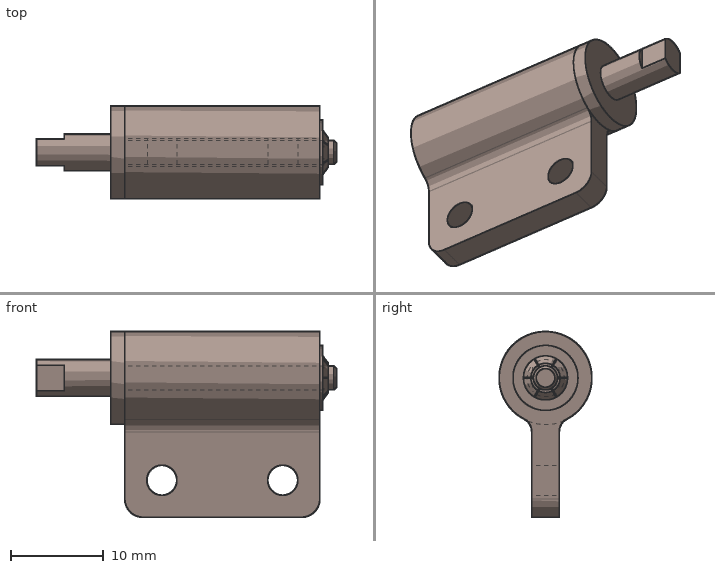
import cadquery as cq
import math


stub_diameter = 4.0
stub_length = 8.0
flat_length = 3.0
across_flats = 2.9
head_diameter = 10.0
head_thickness = 1.5
shank_diameter = 2.6
tip_chamfer = 0.3
tip_projection = 1.8

barrel_diameter = head_diameter
barrel_length = 21.0
plate_thickness = 3.0
plate_bottom_z = -15.0
plate_corner_radius = 2.0
plate_fillet_radius = 1.5
hole_diameter = 3.2
hole_z = -11.0
hole_offsets = (4.0, 17.0)

washer_diameter = 7.0
washer_thickness = 0.3
tongue_count = 6
tongue_root_diameter = 4.75
tongue_tip_diameter = 3.15
tongue_rise = 0.6
slit_width = 0.1

head_start_x = stub_length
barrel_start_x = head_start_x + head_thickness
barrel_end_x = barrel_start_x + barrel_length
tongue_start_x = barrel_end_x + washer_thickness
tongue_end_x = tongue_start_x + tongue_rise
tip_x = barrel_end_x + tip_projection


def cylinder_x(diameter, start_x, end_x):
    """Solid cylinder on the X axis between two stations."""
    return cq.Workplane("YZ", origin=(start_x, 0, 0)).circle(diameter / 2).extrude(end_x - start_x)


def make_pin():
    """Stub with two flats, disc head and a shank that runs through the housing and washer."""
    stub = cylinder_x(stub_diameter, 0, head_start_x)
    flatted_end = cq.Workplane("XY").box(
        flat_length, across_flats, stub_diameter, centered=(False, True, True)
    )
    round_part = cylinder_x(stub_diameter, flat_length, head_start_x)
    stub = stub.intersect(flatted_end.union(round_part))
    head = cylinder_x(head_diameter, head_start_x, barrel_start_x)
    shank = cylinder_x(shank_diameter, barrel_start_x, tip_x).faces(">X").chamfer(tip_chamfer)
    return stub.union(head).union(shank)


def make_plate():
    """Mounting plate with rounded lower corners, rising to the barrel axis."""
    return (
        cq.Workplane("XY", origin=(barrel_start_x, 0, plate_bottom_z))
        .box(barrel_length, plate_thickness, -plate_bottom_z, centered=(False, True, False))
        .edges("|Y and <Z")
        .fillet(plate_corner_radius)
    )


def make_blend():
    """Web between barrel and plate, with concave arcs tangent to both on each side."""
    barrel_radius = barrel_diameter / 2
    arc_center_y = plate_thickness / 2 + plate_fillet_radius
    arc_center_distance = barrel_radius + plate_fillet_radius
    arc_center_z = -math.sqrt(arc_center_distance**2 - arc_center_y**2)
    barrel_tangent_y = arc_center_y * barrel_radius / arc_center_distance
    barrel_tangent_z = arc_center_z * barrel_radius / arc_center_distance

    barrel_angle = math.atan2(-arc_center_z, -arc_center_y)
    middle_angle = (barrel_angle + math.pi) / 2
    middle_y = arc_center_y + plate_fillet_radius * math.cos(middle_angle)
    middle_z = arc_center_z + plate_fillet_radius * math.sin(middle_angle)

    return (
        cq.Workplane("YZ", origin=(barrel_start_x, 0, 0))
        .moveTo(barrel_tangent_y, barrel_tangent_z)
        .threePointArc((middle_y, middle_z), (plate_thickness / 2, arc_center_z))
        .lineTo(-plate_thickness / 2, arc_center_z)
        .threePointArc((-middle_y, middle_z), (-barrel_tangent_y, barrel_tangent_z))
        .lineTo(0, 0)
        .close()
        .extrude(barrel_length)
    )


def make_housing():
    """Barrel and plate in one piece, bored for the shank and drilled for two screws."""
    barrel = cylinder_x(barrel_diameter, barrel_start_x, barrel_end_x)
    bore = cylinder_x(shank_diameter, barrel_start_x, barrel_end_x)
    screw_holes = (
        cq.Workplane("XZ")
        .pushPoints([(barrel_start_x + offset, hole_z) for offset in hole_offsets])
        .circle(hole_diameter / 2)
        .extrude(plate_thickness, both=True)
    )
    return barrel.union(make_plate()).union(make_blend()).cut(bore).cut(screw_holes)


def make_washer():
    """Flat ring with a raised cone, slit into tongues that grip the shank."""
    ring = cylinder_x(washer_diameter, barrel_end_x, tongue_start_x)
    cone = cq.Workplane("XY").add(
        cq.Solid.makeCone(
            tongue_root_diameter / 2,
            tongue_tip_diameter / 2,
            tongue_rise,
            pnt=cq.Vector(tongue_start_x, 0, 0),
            dir=cq.Vector(1, 0, 0),
        )
    )
    for index in range(tongue_count):
        slit = (
            cq.Workplane("XY", origin=(tongue_start_x, 0, 0))
            .box(tongue_rise, tongue_root_diameter, slit_width, centered=(False, False, True))
            .rotate((0, 0, 0), (1, 0, 0), index * 360 / tongue_count)
        )
        cone = cone.cut(slit)
    bore = cylinder_x(shank_diameter, barrel_end_x, tongue_end_x)
    return ring.union(cone).cut(bore)


pin = make_pin()
housing = make_housing()
washer = make_washer()

result = cq.Compound.makeCompound([pin.val(), housing.val(), washer.val()])